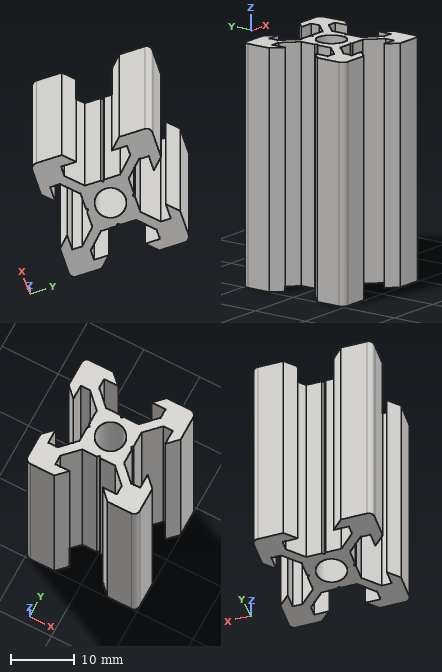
import cadquery as cq

width = 20.0
length = 40.0
half_width = width / 2
corner_radius = 1.0

bore_diameter = 5.0
core_half_width = 4.0
groove_depth = 0.3

lip_thickness = 1.8
mouth_half_width = 4.75
throat_half_width = mouth_half_width - lip_thickness
undercut_half_width = 5.5

web_thickness = 1.5
web_offset = web_thickness / 2**0.5


def slot_cutter():
    """Slot on the +Y side, running the full length."""
    lip_y = half_width - lip_thickness
    right_side = [
        (mouth_half_width, half_width),
        (throat_half_width, lip_y),
        (undercut_half_width, lip_y),
        (undercut_half_width, undercut_half_width + web_offset),
        (core_half_width - web_offset, core_half_width),
        (groove_depth, core_half_width),
    ]
    groove_bottom = (0, core_half_width - groove_depth)
    left_side = [(-x, y) for x, y in reversed(right_side)]
    outline = right_side + [groove_bottom] + left_side
    return cq.Workplane("XY").polyline(outline).close().extrude(length)


def extrusion():
    body = cq.Workplane("XY").rect(width, width).extrude(length)
    body = body.edges("|Z").fillet(corner_radius)
    bore = cq.Workplane("XY").circle(bore_diameter / 2).extrude(length)
    body = body.cut(bore)
    slot = slot_cutter()
    for angle in (0, 90, 180, 270):
        body = body.cut(slot.rotate((0, 0, 0), (0, 0, 1), angle))
    return body


result = extrusion()